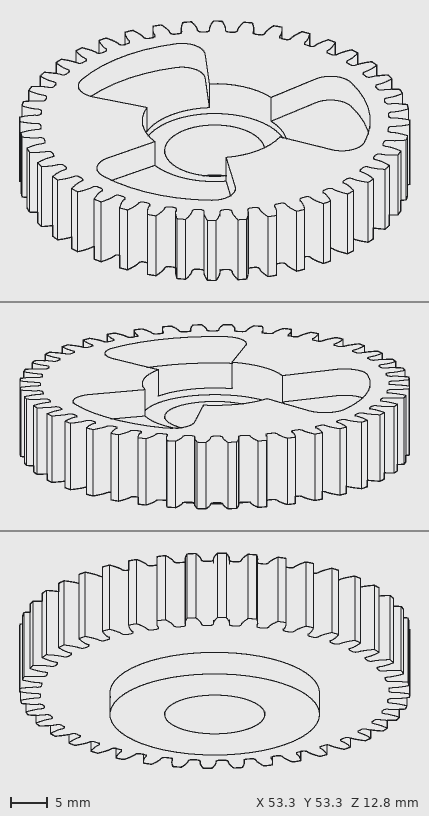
import cadquery as cq
import math

OVERALL_WIDTH = 53.25
TOOTH_COUNT = 40
PRESSURE_ANGLE = math.radians(14.5)
DEDENDUM_FACTOR = 1.25
ROOT_FILLET = 0.55
FLANK_POINTS = 6

GEAR_THICKNESS = 9.55
GEAR_BORE_DIAMETER = 19.8

POCKET_COUNT = 3
FIRST_POCKET_ANGLE = 30.0
POCKET_HALF_ANGLE = 32.4
POCKET_OUTER_RADIUS = 21.25
POCKET_CORNER_RADIUS = 3.2
POCKET_DEPTH = 3.8

HUB_BORE_DIAMETER = 13.7
COLLAR_RECESS = 4.75
FLANGE_DIAMETER = 28.65
FLANGE_THICKNESS = 3.2

CUT_MARGIN = 0.55


def involute(angle):
    return math.tan(angle) - angle


pitch_angle = 2 * math.pi / TOOTH_COUNT
tip_pressure_angle = math.acos(TOOTH_COUNT * math.cos(PRESSURE_ANGLE) / (TOOTH_COUNT + 2))
tip_half_angle = pitch_angle / 4 + involute(PRESSURE_ANGLE) - involute(tip_pressure_angle)
tip_radius = OVERALL_WIDTH / 2 / math.cos(pitch_angle / 2 - tip_half_angle)
module = 2 * tip_radius / (TOOTH_COUNT + 2)
base_radius = module * TOOTH_COUNT / 2 * math.cos(PRESSURE_ANGLE)
base_space_half_angle = pitch_angle / 4 - involute(PRESSURE_ANGLE)
root_radius = module * (TOOTH_COUNT / 2 - DEDENDUM_FACTOR)


def polar(radius, angle):
    return (radius * math.cos(angle), radius * math.sin(angle))


def mirrored(point):
    return (point[0], -point[1])


def flank_point(pressure_angle):
    """Point of the involute flank on the +Y side of a tooth space centred on the +X axis."""
    return polar(base_radius / math.cos(pressure_angle), base_space_half_angle + involute(pressure_angle))


def root_fillet_points():
    """Start, middle and end of the fillet between the radial side and the root circle."""
    centre_radius = root_radius + ROOT_FILLET
    offset_angle = math.asin(ROOT_FILLET / centre_radius)
    centre_angle = base_space_half_angle - offset_angle
    centre = polar(centre_radius, centre_angle)
    start_direction = base_space_half_angle + math.pi / 2
    end_direction = centre_angle + math.pi
    directions = [start_direction, (start_direction + end_direction) / 2, end_direction]
    arms = [polar(ROOT_FILLET, direction) for direction in directions]
    return [(centre[0] + arm[0], centre[1] + arm[1]) for arm in arms]


def tooth_space():
    """Cutter for the tooth space on the +X axis.

    One smooth wall runs down an involute flank, through the root and up the other flank.
    """
    step = tip_pressure_angle / (FLANK_POINTS - 1)
    flank = [flank_point(i * step) for i in reversed(range(FLANK_POINTS))]
    side = flank + root_fillet_points()
    wall = side + [(root_radius, 0)] + [mirrored(point) for point in reversed(side)]
    outer = polar(tip_radius + CUT_MARGIN, pitch_angle / 2 - tip_half_angle)
    return (
        cq.Workplane("XY")
        .moveTo(*wall[0])
        .spline(wall[1:], includeCurrent=True)
        .lineTo(*mirrored(outer))
        .lineTo(*outer)
        .close()
        .extrude(GEAR_THICKNESS)
    )


def pocket():
    """Cutter for the sector pocket centred on the +X axis, its point on the gear axis."""
    half_angle = math.radians(POCKET_HALF_ANGLE)
    corner = polar(POCKET_OUTER_RADIUS, half_angle)
    return (
        cq.Workplane("XY")
        .workplane(offset=GEAR_THICKNESS - POCKET_DEPTH)
        .lineTo(*mirrored(corner))
        .threePointArc((POCKET_OUTER_RADIUS, 0), corner)
        .close()
        .extrude(POCKET_DEPTH + CUT_MARGIN)
        .edges("|Z and (>Y or <Y)")
        .fillet(POCKET_CORNER_RADIUS)
    )


def turned(cutter, angle):
    """The cutter's solid turned about the gear axis by an angle in degrees."""
    return cutter.rotate((0, 0, 0), (0, 0, 1), angle).val()


def make_gear():
    blank = cq.Workplane("XY").circle(tip_radius).circle(GEAR_BORE_DIAMETER / 2).extrude(GEAR_THICKNESS)
    space = tooth_space()
    spaces = [turned(space, i * 360 / TOOTH_COUNT) for i in range(TOOTH_COUNT)]
    sector = pocket()
    pockets = [turned(sector, FIRST_POCKET_ANGLE + i * 360 / POCKET_COUNT) for i in range(POCKET_COUNT)]
    return cq.Workplane(blank.val().cut(*spaces, *pockets))


def make_hub():
    flange = cq.Workplane("XY").circle(FLANGE_DIAMETER / 2).extrude(-FLANGE_THICKNESS)
    collar = cq.Workplane("XY").circle(GEAR_BORE_DIAMETER / 2).extrude(GEAR_THICKNESS - COLLAR_RECESS)
    return flange.union(collar).faces(">Z").workplane().hole(HUB_BORE_DIAMETER)


gear = make_gear()
hub = make_hub()

result = cq.Compound.makeCompound([gear.val(), hub.val()])